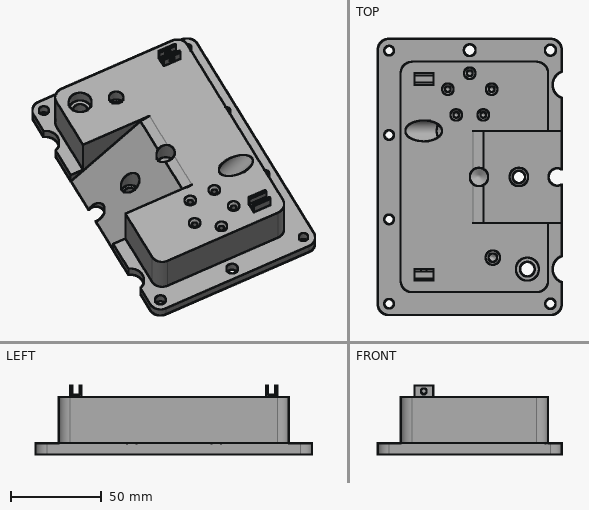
import cadquery as cq
import math

INCH = 25.4
OVERCUT = 1.0

PLATE_LENGTH = 4 * INCH
PLATE_WIDTH = 6 * INCH
PLATE_THICKNESS = INCH / 4
CORNER_RADIUS = INCH / 4
MID_Y = PLATE_WIDTH / 2

BLOCK_MARGIN = INCH / 2
BLOCK_LENGTH = 3.2 * INCH
BLOCK_WIDTH = PLATE_WIDTH - 2 * BLOCK_MARGIN
BLOCK_HEIGHT = INCH
TOP_Z = PLATE_THICKNESS + BLOCK_HEIGHT

HOLE_INSET = INCH / 4
LEFT_HOLE_COUNT = 4
LEFT_HOLE_DIAMETER = 5.16
LEFT_HOLE_PITCH = 1.83 * INCH
PLATE_HOLES = [
    (PLATE_LENGTH - HOLE_INSET, HOLE_INSET, 5.56),
    (PLATE_LENGTH - HOLE_INSET, PLATE_WIDTH - HOLE_INSET, 5.94),
    (PLATE_LENGTH / 2, PLATE_WIDTH - HOLE_INSET, 6.35),
]

CORNER_NOTCH_DIAMETER = 0.6 * INCH
CORNER_NOTCH_X = PLATE_LENGTH + INCH / 10
CORNER_NOTCH_INSET = INCH
MID_NOTCH_DIAMETER = 9.5
MID_NOTCH_X = 99.04

POCKET_WIDTH = 2 * INCH
LEAD_IN_START_X = 52.7
LEAD_IN_LENGTH = 5.6
LEAD_IN_ANGLE = 15
RAMP_ANGLE = 35

DRILL_POINT_ANGLE = 118
RAMP_DRILL_X = 55.88
RAMP_DRILL_DIAMETER = 10.16
RAMP_DRILL_DEPTH = INCH / 2
RAMP_BORE_X = 77.85
RAMP_BORE_DIAMETER = 6.73
RAMP_COUNTERBORE_DIAMETER = 10.16
RAMP_COUNTERBORE_FLOOR_Z = INCH / 4

RING_COUNT = 5
RING_X = PLATE_LENGTH / 2
RING_Y = PLATE_WIDTH - 1.25 * INCH
RING_RADIUS = INCH / 2
RING_HOLE_DIAMETER = 3.17
RING_HOLE_DEPTH = INCH / 2
COUNTERSINK_DIAMETER = 6.35
COUNTERSINK_ANGLE = 82

BLIND_X = 2.5 * INCH
BLIND_Y = 1.25 * INCH
BLIND_DIAMETER = 4.76
BLIND_DEPTH = INCH * 5 / 8
BLIND_COUNTERBORE_DIAMETER = 7.94
THROUGH_X = 3.25 * INCH
THROUGH_Y = INCH
THROUGH_DIAMETER = 7.94
THROUGH_COUNTERBORE_DIAMETER = 12.7
COUNTERBORE_DEPTH = INCH * 5 / 16

SLANT_X = INCH
SLANT_Y = 4 * INCH
SLANT_DIAMETER = 11.51
SLANT_ANGLE = 34.7
SLANT_DEPTH = INCH / 2

LUG_CENTER_X = 25.5
LUG_LENGTH = 10.4
LUG_WIDTH = 6.45
LUG_HEIGHT = INCH / 4
LUG_OUTER_WALL = 1.27
LUG_INNER_WALL = 1.35
LUG_FLOOR = 1.27
LUG_INSET = 0.75 * INCH
LUG_PIN_DIAMETER = 3.17
LUG_PIN_HEIGHT = INCH / 8


def rounded_slab(x, y, z, length, width, height):
    slab = cq.Workplane("XY").box(length, width, height, centered=False)
    return slab.edges("|Z").fillet(CORNER_RADIUS).translate((x, y, z))


def cylinder(x, y, diameter, bottom, top):
    return cq.Workplane("XY", origin=(x, y, bottom)).circle(diameter / 2).extrude(top - bottom)


def through_hole(x, y, diameter):
    return cylinder(x, y, diameter, -OVERCUT, TOP_Z + OVERCUT)


def cone_depth(diameter, included_angle):
    return diameter / 2 / math.tan(math.radians(included_angle / 2))


def drill(diameter, depth, lead):
    """Pointed drill along -Z: full diameter from `lead` above the origin to `depth` below it."""
    tip = -depth - cone_depth(diameter, DRILL_POINT_ANGLE)
    half_profile = (
        cq.Workplane("XZ")
        .moveTo(0, lead)
        .lineTo(diameter / 2, lead)
        .lineTo(diameter / 2, -depth)
        .lineTo(0, tip)
        .close()
    )
    return half_profile.revolve(360, (0, 0, 0), (0, 1, 0))


def drill_down(x, y, diameter, depth):
    return drill(diameter, depth, OVERCUT).translate((x, y, TOP_Z))


def cut_plate_edge(part):
    for i in range(LEFT_HOLE_COUNT):
        part = part.cut(through_hole(HOLE_INSET, HOLE_INSET + i * LEFT_HOLE_PITCH, LEFT_HOLE_DIAMETER))
    for x, y, diameter in PLATE_HOLES:
        part = part.cut(through_hole(x, y, diameter))
    for y in (CORNER_NOTCH_INSET, PLATE_WIDTH - CORNER_NOTCH_INSET):
        part = part.cut(through_hole(CORNER_NOTCH_X, y, CORNER_NOTCH_DIAMETER))
    return part


def cut_pocket(part):
    ramp_start_x = LEAD_IN_START_X + LEAD_IN_LENGTH
    ramp_start_z = TOP_Z - LEAD_IN_LENGTH * math.tan(math.radians(LEAD_IN_ANGLE))
    ramp_drop = (PLATE_LENGTH - ramp_start_x) * math.tan(math.radians(RAMP_ANGLE))
    profile = (
        cq.Workplane("XZ", origin=(0, MID_Y, 0))
        .moveTo(LEAD_IN_START_X, TOP_Z)
        .lineTo(ramp_start_x, ramp_start_z)
        .lineTo(PLATE_LENGTH, ramp_start_z - ramp_drop)
        .lineTo(PLATE_LENGTH, TOP_Z)
        .close()
    )
    part = part.cut(profile.extrude(POCKET_WIDTH / 2, both=True))
    part = part.cut(drill_down(RAMP_DRILL_X, MID_Y, RAMP_DRILL_DIAMETER, RAMP_DRILL_DEPTH))
    part = part.cut(through_hole(RAMP_BORE_X, MID_Y, RAMP_BORE_DIAMETER))
    part = part.cut(
        cylinder(RAMP_BORE_X, MID_Y, RAMP_COUNTERBORE_DIAMETER, RAMP_COUNTERBORE_FLOOR_Z, TOP_Z)
    )
    return part.cut(through_hole(MID_NOTCH_X, MID_Y, MID_NOTCH_DIAMETER))


def cut_hole_ring(part):
    sink_depth = cone_depth(COUNTERSINK_DIAMETER, COUNTERSINK_ANGLE)
    sink = cq.Solid.makeCone(0, COUNTERSINK_DIAMETER / 2, sink_depth)
    for i in range(RING_COUNT):
        angle = math.radians(90 + i * 360 / RING_COUNT)
        x = RING_X + RING_RADIUS * math.cos(angle)
        y = RING_Y + RING_RADIUS * math.sin(angle)
        part = part.cut(drill_down(x, y, RING_HOLE_DIAMETER, RING_HOLE_DEPTH))
        part = part.cut(cq.Workplane(sink.translate(cq.Vector(x, y, TOP_Z - sink_depth))))
    return part


def cut_counterbored_holes(part):
    floor_z = TOP_Z - COUNTERBORE_DEPTH
    part = part.cut(drill_down(BLIND_X, BLIND_Y, BLIND_DIAMETER, BLIND_DEPTH))
    part = part.cut(cylinder(BLIND_X, BLIND_Y, BLIND_COUNTERBORE_DIAMETER, floor_z, TOP_Z))
    part = part.cut(through_hole(THROUGH_X, THROUGH_Y, THROUGH_DIAMETER))
    return part.cut(cylinder(THROUGH_X, THROUGH_Y, THROUGH_COUNTERBORE_DIAMETER, floor_z, TOP_Z))


def cut_slanted_hole(part):
    cutter = drill(SLANT_DIAMETER, SLANT_DEPTH, SLANT_DIAMETER)
    cutter = cutter.rotate((0, 0, 0), (0, 1, 0), SLANT_ANGLE - 90)
    return part.cut(cutter.translate((SLANT_X, SLANT_Y, TOP_Z)))


def front_lug():
    """U-shaped lug near the front edge; its thinner wall faces the edge."""
    slot_width = LUG_WIDTH - LUG_OUTER_WALL - LUG_INNER_WALL
    x = LUG_CENTER_X - LUG_LENGTH / 2
    lug = cq.Workplane("XY").box(LUG_LENGTH, LUG_WIDTH, LUG_HEIGHT, centered=False)
    slot = cq.Workplane("XY").box(LUG_LENGTH, slot_width, LUG_HEIGHT - LUG_FLOOR, centered=False)
    lug = lug.cut(slot.translate((0, LUG_OUTER_WALL, LUG_FLOOR)))
    return lug.translate((x, LUG_INSET, TOP_Z))


def pin_hole():
    plane = cq.Workplane("XZ", origin=(LUG_CENTER_X, LUG_INSET, TOP_Z + LUG_PIN_HEIGHT))
    return plane.circle(LUG_PIN_DIAMETER / 2).extrude(-LUG_WIDTH)


def add_lugs(part):
    lug = front_lug()
    back_lug = lug.mirror("XZ", (0, MID_Y, 0))
    return part.union(lug.cut(pin_hole())).union(back_lug)


plate = rounded_slab(0, 0, 0, PLATE_LENGTH, PLATE_WIDTH, PLATE_THICKNESS)
block = rounded_slab(
    BLOCK_MARGIN, BLOCK_MARGIN, PLATE_THICKNESS, BLOCK_LENGTH, BLOCK_WIDTH, BLOCK_HEIGHT
)
result = plate.union(block)
result = cut_plate_edge(result)
result = cut_pocket(result)
result = cut_hole_ring(result)
result = cut_counterbored_holes(result)
result = cut_slanted_hole(result)
result = add_lugs(result)